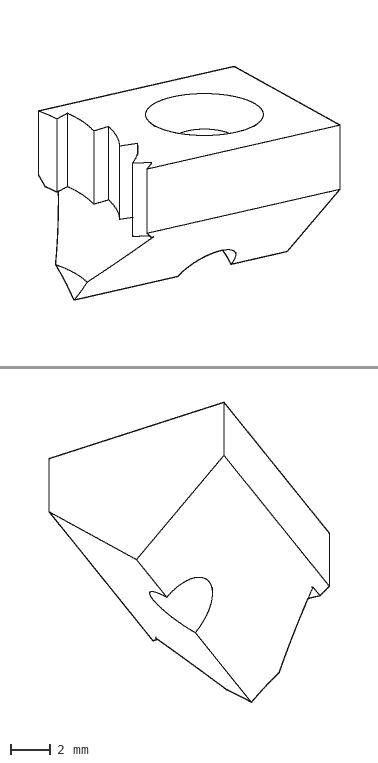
import cadquery as cq
import math

width = 10.0
length = 13.06
height = 8.5
back_y = width / 2
half_width = width / 2

hole_diameter = 3.2
countersink_diameter = 6.01
countersink_angle = 90

tooth_height = 4.0
tooth_outer_radius = 9.93
cone_top_radius = 10.0
lower_radius = 7.0
shelf_z = height - tooth_height
cone_bottom_z = shelf_z - (cone_top_radius - lower_radius)
tip_y = back_y - length
axis_y = tip_y - math.sqrt(lower_radius**2 - cone_bottom_z**2)

tooth_count = 22
tooth_inner_radius = 8.95
tooth_phase = 9.5
flank_bulge = 0.13


def make_body():
    """Pentagonal prism, running from the front axis to the back face."""
    return (
        cq.Workplane("XZ", origin=(0, back_y, 0))
        .moveTo(0, 0)
        .lineTo(half_width, half_width)
        .lineTo(half_width, height)
        .lineTo(-half_width, height)
        .lineTo(-half_width, half_width)
        .close()
        .extrude(back_y - axis_y)
    )


def make_cone_cutter():
    """Cylinder and widening cone that clear the space below the teeth."""
    return (
        cq.Workplane("XZ", origin=(0, axis_y, 0))
        .moveTo(0, 0)
        .lineTo(lower_radius, 0)
        .lineTo(lower_radius, cone_bottom_z)
        .lineTo(cone_top_radius, shelf_z)
        .lineTo(0, shelf_z)
        .close()
        .revolve(360, (0, 0, 0), (0, 1, 0))
    )


def ring_point(radius, angle):
    """Point about the front axis, with the angle measured clockwise from +Y."""
    radians = math.radians(angle)
    return radius * math.sin(radians), radius * math.cos(radians)


def flank_middle(start, end):
    """Middle of a flank arc, bulging outward from its chord."""
    chord_x = end[0] - start[0]
    chord_y = end[1] - start[1]
    chord = math.hypot(chord_x, chord_y)
    middle_x = (start[0] + end[0]) / 2 - flank_bulge * chord_y / chord
    middle_y = (start[1] + end[1]) / 2 + flank_bulge * chord_x / chord
    return middle_x, middle_y


def make_tooth_cutter():
    """Ratchet wheel with radial faces and curved flanks."""
    pitch = 360 / tooth_count
    profile = cq.Workplane("XY", origin=(0, axis_y, shelf_z))
    profile = profile.moveTo(*ring_point(tooth_inner_radius, tooth_phase))
    for tooth in range(tooth_count):
        angle = tooth_phase + tooth * pitch
        root = ring_point(tooth_outer_radius, angle)
        tip = ring_point(tooth_inner_radius, angle + pitch)
        profile = profile.lineTo(*root).threePointArc(flank_middle(root, tip), tip)
    return profile.close().extrude(tooth_height)


body = make_body().cut(make_cone_cutter()).cut(make_tooth_cutter())
result = (
    body.faces(">Z")
    .workplane(origin=(0, 0, height))
    .cskHole(hole_diameter, countersink_diameter, countersink_angle)
)